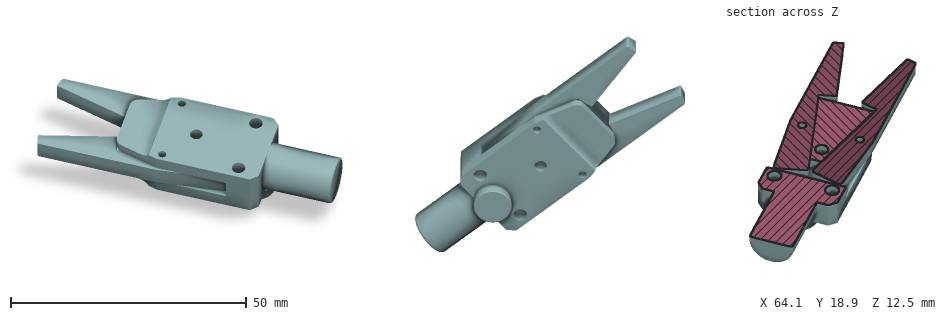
import cadquery as cq
import math


housing_length = 32.15
housing_width = 18.0
housing_height = 10.0
nose_taper_length = 10.05
nose_taper_angle = 15
nose_corner_radius = 2.0
rear_chamfer = 1.55

nose_height = 8.2
relief_start = 6.4
relief_radius = 2.0

slot_height = 4.2
slot_end = 25.35

pivot_hole_diameter = 1.7
pivot_hole_x = 10.75
pivot_hole_y = 7.4
mount_hole_diameter = 2.9
mount_hole_x = 27.4
mount_hole_y = 6.5
center_hole_diameter = 2.7
center_hole_x = 16.15

shank_diameter = housing_height
shank_end = 47.2
shank_edge_radius = 0.5
boss_diameter = 8.0
boss_x = 29.5
boss_height = 2.5
boss_chamfer = 0.2

jaw_height = 4.05
jaw_spread = 18.9
jaw_angle = 15
jaw_pivot_x = 10.45
jaw_hole_diameter = 1.65
arm_half_width = 2.7
arm_length = 14.1
arm_flare_angle = 8.5
arm_end_radius = 0.8
bend_offset = 1.15
finger_length = 26.6
finger_root = 9.7
grip_offset = 6.45
tip_outer_radius = 0.5
tip_inner_radius = 0.25

wedge_front = 1.1
wedge_rear = 19.85

jaw_sin = math.sin(math.radians(jaw_angle))
jaw_cos = math.cos(math.radians(jaw_angle))
jaw_tan = math.tan(math.radians(jaw_angle))

jaw_pivot_y = jaw_spread / 2 - arm_half_width * jaw_cos - bend_offset * jaw_sin


def plate(outline, height):
    """Prism over a closed XY outline, centred on Z = 0."""
    return cq.Workplane("XY").polyline(outline).close().extrude(height / 2, both=True)


def through_holes(points, diameter):
    """Vertical cutters that pass through the whole housing."""
    return cq.Workplane("XY").pushPoints(points).circle(diameter / 2).extrude(housing_height, both=True)


def make_block():
    """Housing plate with a tapered, rounded nose and chamfered rear corners."""
    half_width = housing_width / 2
    nose_half_width = half_width - nose_taper_length * math.tan(math.radians(nose_taper_angle))
    outline = [
        (0, -nose_half_width),
        (nose_taper_length, -half_width),
        (housing_length, -half_width),
        (housing_length, half_width),
        (nose_taper_length, half_width),
        (0, nose_half_width),
    ]
    block = plate(outline, housing_height)
    block = block.edges("|Z and <X").fillet(nose_corner_radius)
    return block.edges("|Z and >X").chamfer(rear_chamfer)


def make_nose_relief():
    """Cutter that thins the top of the nose and runs out in a concave arc."""
    floor = nose_height / 2
    top = housing_height / 2
    depth = top - floor
    arc_center_z = floor + relief_radius
    arc_end_x = relief_start + math.sqrt(relief_radius**2 - (relief_radius - depth) ** 2)
    middle_angle = math.asin((arc_end_x - relief_start) / relief_radius) / 2
    arc_middle = (
        relief_start + relief_radius * math.sin(middle_angle),
        arc_center_z - relief_radius * math.cos(middle_angle),
    )
    return (
        cq.Workplane("XZ")
        .moveTo(0, floor)
        .lineTo(relief_start, floor)
        .threePointArc(arc_middle, (arc_end_x, top))
        .lineTo(0, top)
        .close()
        .extrude(housing_width / 2, both=True)
    )


def make_shank():
    """Round clamping shank behind the block."""
    shank = (
        cq.Workplane("YZ", origin=(housing_length, 0, 0))
        .circle(shank_diameter / 2)
        .extrude(shank_end - housing_length)
    )
    return shank.faces(">X").edges().fillet(shank_edge_radius)


def make_boss():
    """Round locating boss under the block."""
    bottom = -housing_height / 2 - boss_height
    boss = cq.Workplane("XY", origin=(boss_x, 0, bottom)).circle(boss_diameter / 2).extrude(boss_height)
    return boss.faces("<Z").edges().chamfer(boss_chamfer)


def make_housing():
    top_relief = make_nose_relief()
    bottom_relief = top_relief.mirror("XY")
    slot = cq.Workplane("XY").box(slot_end, housing_width, slot_height, centered=(False, True, True))
    pivot_points = [(pivot_hole_x, side * pivot_hole_y) for side in (-1, 1)]
    mount_points = [(mount_hole_x, side * mount_hole_y) for side in (-1, 1)]
    return (
        make_block()
        .cut(top_relief)
        .cut(bottom_relief)
        .cut(slot)
        .union(make_shank())
        .union(make_boss())
        .cut(through_holes(pivot_points, pivot_hole_diameter))
        .cut(through_holes(mount_points, mount_hole_diameter))
        .cut(through_holes([(center_hole_x, 0)], center_hole_diameter))
    )


def make_jaw(side):
    """Open jaw on the +Y (side = 1) or -Y (side = -1) half of the gripper."""
    tip_outer_offset = arm_half_width - (finger_length - bend_offset) * jaw_tan
    arm_end_offset = arm_half_width + (arm_length + bend_offset) * math.tan(math.radians(arm_flare_angle))
    outline = [
        (-finger_length, -grip_offset),
        (-finger_root, -grip_offset),
        (-finger_root, -arm_half_width),
        (arm_length, -arm_half_width),
        (arm_length, arm_end_offset),
        (-bend_offset, arm_half_width),
        (-finger_length, tip_outer_offset),
    ]
    jaw = plate(outline, jaw_height)
    jaw = jaw.edges("|Z and >X").fillet(arm_end_radius)
    jaw = jaw.edges("|Z and <X").edges(">Y").fillet(tip_outer_radius)
    jaw = jaw.edges("|Z and <X").edges("<Y").fillet(tip_inner_radius)
    jaw = jaw.cut(through_holes([(0, 0)], jaw_hole_diameter))

    jaw = jaw.rotate((0, 0, 0), (0, 0, 1), -jaw_angle)
    jaw = jaw.translate((jaw_pivot_x, jaw_pivot_y, 0))
    if side < 0:
        jaw = jaw.mirror("XZ")
    return jaw.translate((0, 0, side * (slot_height - jaw_height) / 2))


def wedge_half_width(x):
    """Distance from the middle plane to the inner face of an open jaw arm."""
    return jaw_pivot_y - arm_half_width / jaw_cos - (x - jaw_pivot_x) * jaw_tan


def make_wedge():
    """Tapered block that fills the slot between the jaw arms."""
    front_half_width = wedge_half_width(wedge_front)
    rear_half_width = wedge_half_width(wedge_rear)
    outline = [
        (wedge_front, -front_half_width),
        (wedge_rear, -rear_half_width),
        (wedge_rear, rear_half_width),
        (wedge_front, front_half_width),
    ]
    return plate(outline, slot_height).cut(through_holes([(center_hole_x, 0)], center_hole_diameter))


housing = make_housing()
jaws = [make_jaw(side) for side in (-1, 1)]
wedge = make_wedge()

result = cq.Compound.makeCompound([housing.val(), *[jaw.val() for jaw in jaws], wedge.val()])